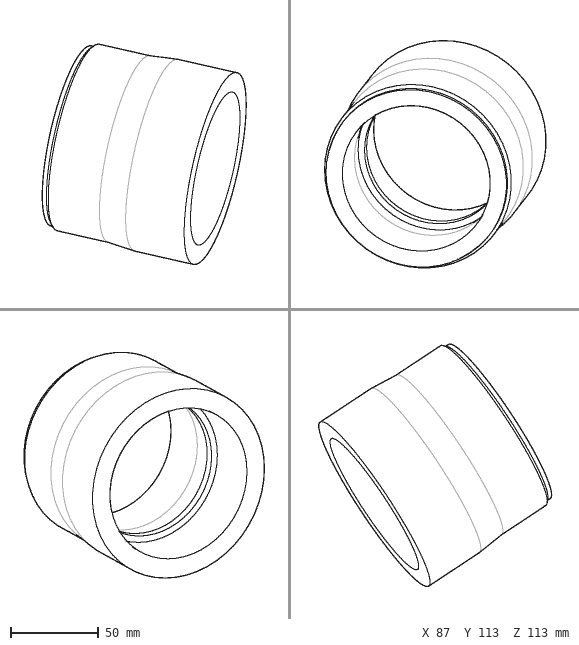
import cadquery as cq

length = 87.0
outer_diameter = 113.0

lip_diameter = 106.2
body_diameter = 110.0
lip_end = 2.6
chamfer_end = 4.3
taper_start = 35.3
taper_end = 51.6

mouth_diameter = 87.0
chamber_diameter = 90.0
rib_diameter = 82.4
bore_taper_start = 31.2
rib_start = 46.9
rib_end = 52.1


def outer_body():
    """Stepped outside: lip, chamfer, body, taper and large end."""
    return (
        cq.Workplane("XY")
        .moveTo(0, 0)
        .lineTo(0, lip_diameter / 2)
        .lineTo(lip_end, lip_diameter / 2)
        .lineTo(chamfer_end, body_diameter / 2)
        .lineTo(taper_start, body_diameter / 2)
        .lineTo(taper_end, outer_diameter / 2)
        .lineTo(length, outer_diameter / 2)
        .lineTo(length, 0)
        .close()
        .revolve(360, (0, 0, 0), (1, 0, 0))
    )


def through_bore():
    """Bore flaring from the mouth up to an inner rib, with a straight chamber behind it."""
    return (
        cq.Workplane("XY")
        .moveTo(0, 0)
        .lineTo(0, mouth_diameter / 2)
        .lineTo(bore_taper_start, mouth_diameter / 2)
        .lineTo(rib_start, chamber_diameter / 2)
        .lineTo(rib_start, rib_diameter / 2)
        .lineTo(rib_end, rib_diameter / 2)
        .lineTo(rib_end, chamber_diameter / 2)
        .lineTo(length, chamber_diameter / 2)
        .lineTo(length, 0)
        .close()
        .revolve(360, (0, 0, 0), (1, 0, 0))
    )


result = outer_body().cut(through_bore())